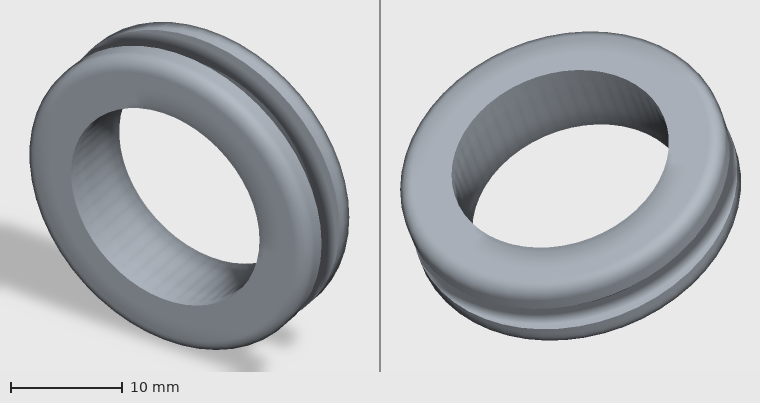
import cadquery as cq

outer_diameter = 30.0
bore_diameter = 20.0
groove_diameter = 25.0
ring_width = 8.0
groove_width = 3.0
rim_fillet = 1.25


def disc(diameter, width):
    """Solid disc about the Y axis, centred on the origin."""
    front_plane = cq.Workplane("XZ", origin=(0, -width / 2, 0))
    return front_plane.circle(diameter / 2).extrude(-width)


body = disc(outer_diameter, ring_width).edges("%CIRCLE").fillet(rim_fillet)

groove = disc(outer_diameter, groove_width).cut(disc(groove_diameter, groove_width))
bore = disc(bore_diameter, ring_width)

result = body.cut(groove).cut(bore)